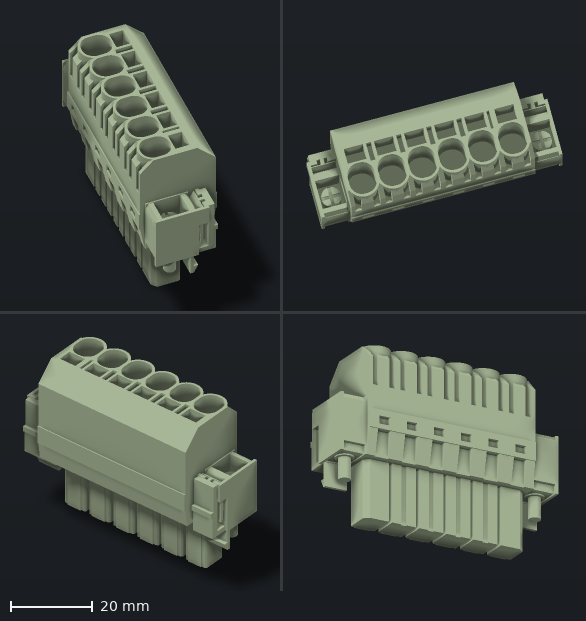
import cadquery as cq

POLES = 6
PITCH = 7.62
POLE_X = [(i - (POLES - 1) / 2) * PITCH for i in range(POLES)]
GAP_X = [x + PITCH / 2 for x in POLE_X[:-1]]
OVERALL_LENGTH = 8 * PITCH

HOUSING_LENGTH = 46.5
HOUSING_HALF = HOUSING_LENGTH / 2
HOUSING_TOP = 29.2
HOUSING_Y = 9.98
FRONT_CHAMFER = 3.5
REAR_CHAMFER = 4.9
BAND_Y = 10.3
BAND_TOP = 11.8
BAND_BOTTOM = 6.8
REAR_BOTTOM = 2.05
REAR_BOTTOM_Y = 9.35

PANEL_Y = -8.35
WEDGE_BOTTOM_Y = -8.8
PANEL_TOP_WIDTH = 3.5
PANEL_BOTTOM_WIDTH = 3.75

WINDOW_WIDTH = 3.0
WINDOW_BOTTOM = 8.05
WINDOW_TOP = 10.15
WINDOW_DEPTH = 1.45

WIRE_HOLE_Y = -4.3
FUNNEL_Y = -4.76
FUNNEL_RADIUS = 4.18
WIRE_HOLE_WIDTH = 6.75
WIRE_HOLE_LENGTH = 7.8
WIRE_HOLE_CORNER = 3.05
WIRE_HOLE_DEPTH = 15.0
RECESS_WIDTH = 6.3
RECESS_BOTTOM = 18.2
RIB_WIDTH = 3.0

OPENING_REAR_Y = 3.8
RELEASE_WIDTH = 4.9
RELEASE_LENGTH = 3.75
RELEASE_DEPTH = 10.0
SLOT_WIDTH = 1.3
NARROW_SLOT_WIDTH = 0.7
SLOT_LENGTH = 4.5
SLOT_DEPTH = 5.0

PRONG_WIDTH = 6.7
PRONG_FRONT = -6.3
PRONG_REAR = 1.0
PRONG_REAR_CHAMFER = 0.37
RAIL_REAR = 1.35
RAIL_WIDTH = 4.0
PRONG_BOTTOM = -15.5
PRONG_CHAMFER_X = 1.35
PRONG_CHAMFER_Y = 1.15
GROOVE_WIDTH = 1.45
GROOVE_DEPTH = 0.5

FLANGE_TOP = 2 * PITCH
FLANGE_OUTER = OVERALL_LENGTH / 2
OUTER_WALL = 0.8
INNER_WALL = 0.35
CAVITY_OUTER = FLANGE_OUTER - OUTER_WALL
CAVITY_INNER = HOUSING_HALF + INNER_WALL
FLANGE_FRONT = -8.75
FLANGE_UNDERSIDE = 0.37
CAVITY_FRONT = -6.7
CAVITY_REAR = 0.46
CAVITY_FLOOR = 4.0
WALL_REAR = 2.55
RIM_DROP = 0.1

LIP_Y = -7.8
LIP_SLOPE_BOTTOM = 13.9
LIP_BOTTOM = 13.35
LIP_STEP = 0.1
UNDERCUT_TOP = 2.43
UNDERCUT_DEPTH = 1.15

WALL_BEVEL_Y = 1.5
WALL_BEVEL_DROP = 1.3
GUARD_REAR = 5.43
GUARD_FRONT = 4.47
GUARD_BOTTOM = 10.13
GUARD_GAP = 2.65

HINGE_TOP = 1.3
ARM_REAR = 4.08
ARM_BOTTOM = 3.1
ARM_BEVEL_Y = 3.87
ARM_BEVEL_DROP = 2.0
ARM_FRONT_TOP = 2.8
ARM_FRONT_BOTTOM = 3.62
WEB_WIDTH = 0.9
BUTTON_FRONT = GUARD_REAR
LEVER_TOP = FLANGE_TOP - RIM_DROP
BUTTON_REAR = 7.09
BUTTON_LOWER_REAR = 7.45
BUMP_REAR = 8.0
BUMP_BOTTOM = 6.2
BUMP_TOP = 7.7

LATCH_FRONT = 0.63
LATCH_REAR = 1.57
LATCH_BOTTOM = -6.4
HOOK_REAR = 2.74
HOOK_TOP = -4.2

SCREW_X = 3.5 * PITCH
SCREW_Y = -3.6
SCREW_HEAD_RADIUS = 2.45
SCREW_HEAD_TOP = 11.2
SCREW_SHANK_RADIUS = 1.58
SCREW_BOTTOM = -5.7
CROSS_WIDTH = 0.85
CROSS_DEPTH = 1.0


def box(x0, x1, y0, y1, z0, z1):
    """Box between two opposite corners."""
    return cq.Workplane("XY").box(x1 - x0, y1 - y0, z1 - z0, centered=False).translate((x0, y0, z0))


def extrude_along_x(points_yz, x0, x1):
    """Prism with an outline in Y and Z, from x0 to x1."""
    return cq.Workplane("YZ", origin=(x0, 0, 0)).polyline(points_yz).close().extrude(x1 - x0)


def cylinder(x, y, radius, z0, z1):
    return cq.Workplane("XY", origin=(x, y, z0)).circle(radius).extrude(z1 - z0)


def housing_block():
    """Chamfered block with the band around its middle and the stepped, tapered lower end."""
    outline = [
        (-HOUSING_Y + FRONT_CHAMFER, HOUSING_TOP),
        (-HOUSING_Y, HOUSING_TOP - FRONT_CHAMFER),
        (-HOUSING_Y, BAND_TOP),
        (-BAND_Y, BAND_TOP),
        (-BAND_Y, BAND_BOTTOM),
        (-HOUSING_Y, BAND_BOTTOM),
        (WEDGE_BOTTOM_Y, 0),
        (RAIL_REAR, 0),
        (RAIL_REAR, REAR_BOTTOM),
        (REAR_BOTTOM_Y, REAR_BOTTOM),
        (HOUSING_Y, BAND_BOTTOM),
        (BAND_Y, BAND_BOTTOM),
        (BAND_Y, BAND_TOP),
        (HOUSING_Y, BAND_TOP),
        (HOUSING_Y, HOUSING_TOP - REAR_CHAMFER),
        (HOUSING_Y - REAR_CHAMFER, HOUSING_TOP),
    ]
    return extrude_along_x(outline, -HOUSING_HALF, HOUSING_HALF)


def panel_cut(x):
    """Space in front of one flat panel, between two wedges."""
    return (
        cq.Workplane("XZ", origin=(x, PANEL_Y, 0))
        .polyline([
            (-PANEL_BOTTOM_WIDTH / 2, 0),
            (PANEL_BOTTOM_WIDTH / 2, 0),
            (PANEL_TOP_WIDTH / 2, BAND_BOTTOM),
            (-PANEL_TOP_WIDTH / 2, BAND_BOTTOM),
        ])
        .close()
        .extrude(BAND_Y + PANEL_Y)
    )


def window_cut(x):
    half = WINDOW_WIDTH / 2
    return box(x - half, x + half, -BAND_Y, -BAND_Y + WINDOW_DEPTH, WINDOW_BOTTOM, WINDOW_TOP)


def funnel_recess(x):
    """Recess in front of a wire funnel, leaving a rib in its middle."""
    half = RECESS_WIDTH / 2
    rib = RIB_WIDTH / 2
    recess = box(x - half, x + half, -BAND_Y, FUNNEL_Y, RECESS_BOTTOM, HOUSING_TOP)
    return recess.cut(box(x - rib, x + rib, -BAND_Y, FUNNEL_Y, RECESS_BOTTOM, HOUSING_TOP))


def funnel(x):
    """Round funnel wall, standing clear of the front chamfer."""
    return cylinder(x, FUNNEL_Y, FUNNEL_RADIUS, RECESS_BOTTOM, HOUSING_TOP)


def wire_hole(x):
    """Nearly round hole: large corner arcs leave short flats on its four sides."""
    return (
        cq.Workplane("XY", origin=(x, WIRE_HOLE_Y, HOUSING_TOP - WIRE_HOLE_DEPTH / 2))
        .box(WIRE_HOLE_WIDTH, WIRE_HOLE_LENGTH, WIRE_HOLE_DEPTH)
        .edges("|Z")
        .fillet(WIRE_HOLE_CORNER)
    )


def top_opening(x0, width, length, depth):
    """Rectangular opening in the top face, starting at the common rear line."""
    front = OPENING_REAR_Y - length
    return box(x0, x0 + width, front, OPENING_REAR_Y, HOUSING_TOP - depth, HOUSING_TOP)


def prong(index):
    """Plug prong with a rail along its rear.

    End prongs have a chamfered outer front corner, the others a groove in front.
    """
    x = POLE_X[index]
    half = PRONG_WIDTH / 2
    rail = RAIL_WIDTH / 2
    body = box(x - half, x + half, PRONG_FRONT, PRONG_REAR, PRONG_BOTTOM, 0)
    body = body.edges("|Z and >Y").chamfer(PRONG_REAR_CHAMFER)
    body = body.union(box(x - rail, x + rail, PRONG_FRONT, RAIL_REAR, PRONG_BOTTOM, 0))
    if index in (0, POLES - 1):
        side = -1 if index == 0 else 1
        corner = x + side * half
        cut = (
            cq.Workplane("XY", origin=(0, 0, PRONG_BOTTOM))
            .polyline([
                (corner, PRONG_FRONT),
                (corner - side * PRONG_CHAMFER_X, PRONG_FRONT),
                (corner, PRONG_FRONT + PRONG_CHAMFER_Y),
            ])
            .close()
            .extrude(-PRONG_BOTTOM)
        )
    else:
        groove = GROOVE_WIDTH / 2
        cut = box(x - groove, x + groove, PRONG_FRONT, PRONG_FRONT + GROOVE_DEPTH, PRONG_BOTTOM, 0)
    return body.cut(cut)


def make_housing():
    body = housing_block()
    for x in POLE_X:
        body = body.cut(panel_cut(x)).cut(window_cut(x)).cut(funnel_recess(x))
    for x in POLE_X:
        body = body.union(funnel(x))
    for x in POLE_X:
        release_x = x - RELEASE_WIDTH / 2
        body = body.cut(wire_hole(x))
        body = body.cut(top_opening(release_x, RELEASE_WIDTH, RELEASE_LENGTH, RELEASE_DEPTH))
    for x in GAP_X:
        width = NARROW_SLOT_WIDTH if x == GAP_X[-1] else SLOT_WIDTH
        body = body.cut(top_opening(x - SLOT_WIDTH / 2, width, SLOT_LENGTH, SLOT_DEPTH))
    for index in range(POLES):
        body = body.union(prong(index))
    return body


def flange_frame():
    """Box around the screw, open at the top, with its side walls and rear guards."""
    frame = box(HOUSING_HALF, FLANGE_OUTER, FLANGE_FRONT, WALL_REAR, 0, FLANGE_TOP)
    side_wall = box(CAVITY_OUTER, FLANGE_OUTER, WALL_REAR, GUARD_REAR, GUARD_BOTTOM, FLANGE_TOP)
    guards = box(HOUSING_HALF, FLANGE_OUTER, GUARD_FRONT, GUARD_REAR, GUARD_BOTTOM, FLANGE_TOP)
    gap = GUARD_GAP / 2
    guard_gap = box(SCREW_X - gap, SCREW_X + gap, GUARD_FRONT, GUARD_REAR, GUARD_BOTTOM, FLANGE_TOP)
    cavity = box(CAVITY_INNER, CAVITY_OUTER, CAVITY_FRONT, CAVITY_REAR, CAVITY_FLOOR, FLANGE_TOP)
    rim = box(
        CAVITY_INNER, CAVITY_OUTER, FLANGE_FRONT, WALL_REAR, FLANGE_TOP - RIM_DROP, FLANGE_TOP
    )
    underside = box(CAVITY_INNER, CAVITY_OUTER, FLANGE_FRONT, CAVITY_REAR, 0, FLANGE_UNDERSIDE)
    undercut = box(
        CAVITY_INNER, CAVITY_OUTER, FLANGE_FRONT, FLANGE_FRONT + UNDERCUT_DEPTH, 0, UNDERCUT_TOP
    )
    lip_face = FLANGE_FRONT + LIP_STEP
    lip = extrude_along_x(
        [
            (LIP_Y, FLANGE_TOP),
            (lip_face, LIP_SLOPE_BOTTOM),
            (lip_face, LIP_BOTTOM),
            (FLANGE_FRONT, LIP_BOTTOM),
            (FLANGE_FRONT, FLANGE_TOP),
        ],
        CAVITY_INNER,
        CAVITY_OUTER,
    )
    bevel = extrude_along_x(
        [
            (WALL_BEVEL_Y, FLANGE_TOP),
            (WALL_REAR, FLANGE_TOP - WALL_BEVEL_DROP),
            (WALL_REAR, FLANGE_TOP),
        ],
        CAVITY_INNER,
        CAVITY_OUTER,
    )
    frame = frame.cut(cavity).cut(rim).cut(underside).cut(undercut).cut(lip).cut(bevel)
    return frame.union(side_wall).union(guards.cut(guard_gap))


def release_lever():
    """Button at the rear and arm in front of it, joined by a web and hinged at the bottom."""
    button = extrude_along_x(
        [
            (BUTTON_FRONT, 0),
            (BUTTON_LOWER_REAR, 0),
            (BUTTON_LOWER_REAR, BUMP_BOTTOM),
            (BUMP_REAR, BUMP_BOTTOM),
            (BUMP_REAR, BUMP_TOP),
            (BUTTON_REAR, BUMP_TOP),
            (BUTTON_REAR, LEVER_TOP),
            (BUTTON_FRONT, LEVER_TOP),
        ],
        CAVITY_INNER,
        CAVITY_OUTER,
    )
    hinge = box(CAVITY_INNER, CAVITY_OUTER, WALL_REAR, BUTTON_FRONT, 0, HINGE_TOP)
    arm_outline = [
        (BUTTON_FRONT, HINGE_TOP),
        (BUTTON_FRONT, LEVER_TOP),
        (ARM_BEVEL_Y, LEVER_TOP),
        (ARM_FRONT_TOP, LEVER_TOP - ARM_BEVEL_DROP),
        (ARM_FRONT_BOTTOM, HINGE_TOP),
    ]
    web = extrude_along_x(arm_outline, SCREW_X - WEB_WIDTH / 2, SCREW_X + WEB_WIDTH / 2)
    arm_limits = box(CAVITY_INNER, CAVITY_OUTER, WALL_REAR, ARM_REAR, ARM_BOTTOM, LEVER_TOP)
    arm = extrude_along_x(arm_outline, CAVITY_INNER, CAVITY_OUTER).intersect(arm_limits)
    return button.union(hinge).union(web).union(arm)


def latch():
    """Downward plate with a hook at its lower rear edge."""
    outline = [
        (LATCH_FRONT, 0),
        (LATCH_FRONT, LATCH_BOTTOM),
        (LATCH_REAR, LATCH_BOTTOM),
        (HOOK_REAR, HOOK_TOP),
        (LATCH_REAR, HOOK_TOP),
        (LATCH_REAR, 0),
    ]
    return extrude_along_x(outline, CAVITY_INNER, CAVITY_OUTER)


def make_flange():
    """Flange at the +X end."""
    body = flange_frame().union(release_lever()).union(latch())
    return body.cut(cylinder(SCREW_X, SCREW_Y, SCREW_HEAD_RADIUS, 0, CAVITY_FLOOR))


def make_screw():
    """Cross-slotted screw at the +X end."""
    head = cylinder(SCREW_X, SCREW_Y, SCREW_HEAD_RADIUS, 0, SCREW_HEAD_TOP)
    shank = cylinder(SCREW_X, SCREW_Y, SCREW_SHANK_RADIUS, SCREW_BOTTOM, 0)
    slot = cq.Workplane("XY", origin=(SCREW_X, SCREW_Y, SCREW_HEAD_TOP - CROSS_DEPTH / 2))
    slot_x = slot.box(2 * SCREW_HEAD_RADIUS, CROSS_WIDTH, CROSS_DEPTH)
    slot_y = slot.box(CROSS_WIDTH, 2 * SCREW_HEAD_RADIUS, CROSS_DEPTH)
    return head.union(shank).cut(slot_x).cut(slot_y)


housing = make_housing().solids()
flange = make_flange().solids()
screw = make_screw().solids()

bodies = [housing.val()]
for part in (flange, screw):
    bodies.append(part.val())
    bodies.append(part.val().mirror("YZ"))

result = cq.Compound.makeCompound(bodies)